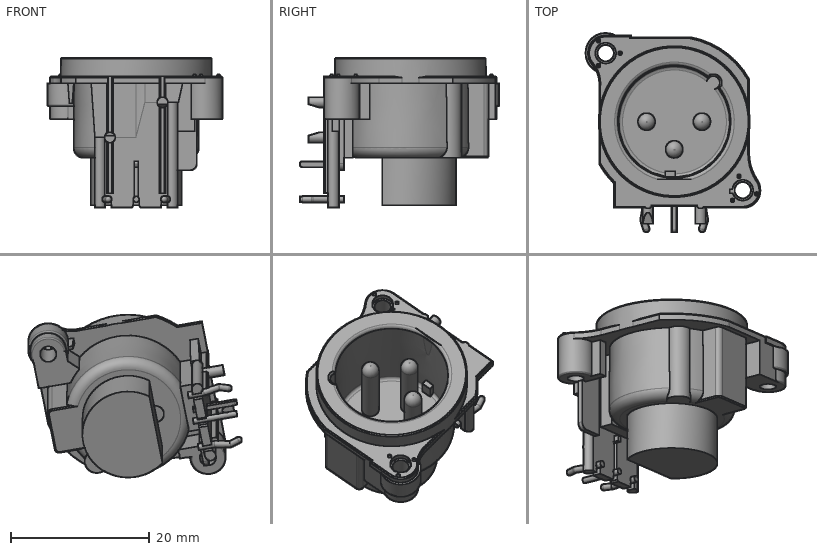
import cadquery as cq
import math


OVERALL_HEIGHT = 21.7

FLANGE_THICKNESS = 1.05
FLANGE_CHAMFER = 0.2
FLANGE_HALF_WIDTH = 10.85
FLANGE_ARC_RADIUS = 12.45
FLANGE_REAR_Y = 12.22
FLANGE_FRONT_Y = -12.47
FLANGE_NOTCH_X = -8.75
FLANGE_RECESS_DEPTH = 0.23

LUG_OFFSET = 9.9
LUG_RADIUS = -FLANGE_FRONT_Y - LUG_OFFSET
LUG_COLLAR_RADIUS = 2.92
LUG_COLLAR_BOTTOM = -4.35
LUG_BOTTOM = -6.25
LUG_HOLE_RADIUS = 1.17
LUG_COUNTERBORE_RADIUS = 1.5
LUG_COUNTERBORE_DEPTH = 0.8
LUG_EDGE_FILLET = 0.2
LUG_NOTCH_X = (8.0, LUG_OFFSET)
LUG_NOTCH_Y = (-10.35, -9.8)
BUMP_CIRCLE_RADIUS = 2.08
BUMP_COUNT = 3
BUMP_FRONT_ANGLE = 105
BUMP_RADIUS = 0.28
BUMP_TIP_RADIUS = 0.1
BUMP_HEIGHT = 0.3

RING_RADIUS = 10.92
RING_TOP = 2.7
RING_CHAMFER = 0.2

CUP_TOP_RADIUS = 8.97
CUP_BOTTOM_RADIUS = 9.07
CUP_BOTTOM = -11.8
CUP_FILLET = 1.5
CUP_FLOOR = -10.3
CAVITY_TOP_RADIUS = 8.15
CAVITY_FLOOR_RADIUS = 8.0
CAVITY_FLOOR_FILLET = 0.5
CAVITY_FLAT_Y = -8.1
LIP_FLAT_Y = -8.32
CAVITY_LIP = 0.5
KEYWAY_RADIUS = 0.95
KEYWAY_REACH = 7.97
KEYWAY_X = KEYWAY_REACH * math.sqrt(0.5)
KEYWAY_WALL = 0.8
KEYWAY_LIP = 0.3
LATCH_HALF_WIDTH = 3.4
LATCH_REAR_Y = 11.3
LATCH_CORNER_RADIUS = 0.7
LATCH_EDGE_CHAMFER = 0.2
CONTACT_X = (-1.26, 0.18)
CONTACT_Y = (-8.2, -7.18)
CONTACT_HEIGHT = 2.0

PIN_RADIUS = 1.25
PIN_TIP_FILLET = 1.2
PIN_OFFSET = 4.0
PIN_TOP = 0.9
PLUG_RADIUS = 6.6
PLUG_FLAT_Y = -4.08
PLUG_BOTTOM = -18.65

WALL_FRONT_Y = -11.6
WALL_BACK_Y = -10.3
WALL_BOTTOM = RING_TOP - OVERALL_HEIGHT
WALL_HALF_WIDTH = 5.97
WALL_TOP_LEFT_X = -6.5
WALL_TOP_RIGHT_X = 6.7
WALL_SHOULDER_RIGHT_X = 6.1
WALL_DRAFT = 0.1
SHOULDER_RAMP_X = (-0.1, 1.2)
BRIDGE_BACK_Y = -8.3
BRIDGE_HALF_WIDTH = 3.5
WALL_SHOULDER_LEFT = -8.85
WALL_SHOULDER_RIGHT = -3.78
POST_RADIUS = 0.78
POST_OFFSET = 5.2
POST_Y = -11.14

RIB_OFFSET = 3.8
RIB_BASE_WIDTH = 0.92
RIB_TIP_WIDTH = 0.55
RIB_TIP_Y = -12.49
RIB_CHAMFER = (RIB_BASE_WIDTH - RIB_TIP_WIDTH) / 2
RIB_BOTTOM = -16.9

SNAP_RADIUS = 0.77
SNAP_TIP_Y = -14.75
SNAP_TAPER_Y = -13.13
SNAP_TAPER = 0.5

TAIL_Z = -17.78
TAIL_START_Y = -9.57
TAIL_TIP_Y = -15.98
TAIL_OFFSET = 4.03
TAIL_RADIUS = 0.475
TAIL_BOW = 0.42
TAIL_BOW_START_Y = -11.9
TAIL_BOW_Y = -14.2
CENTER_TAIL_RADIUS = 0.43
BLADE_WIDTH = 0.63
BLADE_TOP = -12.29
BLADE_HEIGHT = 0.87
BLADE_TIP_FILLET = 0.35

PLATE_BACK_Y = -9.57
PLATE_INNER_X = 4.8
PLATE_OUTER_X = 8.78
PLATE_BOTTOM = -13.6
PLATE_CORNER_RADIUS = 1.0
PAD_OUTER_X = 8.48
PAD_FRONT_Y = -11.33
PAD_BOTTOM = -7.96


def block(x, y, z):
    """Box given by its (low, high) limits along each axis."""
    return cq.Workplane("XY").box(
        x[1] - x[0], y[1] - y[0], z[1] - z[0], centered=False
    ).translate((x[0], y[0], z[0]))


def cylinder(x, y, radius, bottom, top):
    """Upright cylinder between two heights."""
    return cq.Workplane("XY", origin=(x, y, bottom)).circle(radius).extrude(top - bottom)


def rod(x, z, radius, start_y, tip_y):
    """Horizontal cylinder that runs toward -Y."""
    return cq.Workplane("XZ", origin=(x, start_y, z)).circle(radius).extrude(start_y - tip_y)


def make_flange():
    """Flange plate with a lug at the rear left and at the front right."""

    def on_arc(x, side):
        return (x, side * math.sqrt(FLANGE_ARC_RADIUS**2 - x**2))

    def on_lug(side, degrees):
        angle = math.radians(degrees)
        return (
            side * (LUG_OFFSET + LUG_RADIUS * math.cos(angle)),
            side * (-LUG_OFFSET + LUG_RADIUS * math.sin(angle)),
        )

    step_x = -6.24
    arc_start_x = math.sqrt(FLANGE_ARC_RADIUS**2 - FLANGE_REAR_Y**2)
    arc_middle_angle = math.radians(35)
    arc_middle_x = FLANGE_ARC_RADIUS * math.sin(arc_middle_angle)
    right_flank_end = (FLANGE_HALF_WIDTH, -4.6)
    right_flank_middle = (11.28, -7.0)
    left_flank_end = (-FLANGE_HALF_WIDTH, 5.2)
    left_flank_middle = (-11.15, 7.1)
    flank_angle = 32
    round_angle = -30
    front_arc_middle_x = -9.93
    rear_left_y = LUG_OFFSET + LUG_RADIUS
    return (
        cq.Workplane("XY", origin=(0, 0, -FLANGE_THICKNESS))
        .moveTo(FLANGE_NOTCH_X, FLANGE_FRONT_Y)
        .lineTo(LUG_OFFSET, FLANGE_FRONT_Y)
        .threePointArc(on_lug(1, round_angle), on_lug(1, flank_angle))
        .threePointArc(right_flank_middle, right_flank_end)
        .lineTo(*on_arc(FLANGE_HALF_WIDTH, 1))
        .threePointArc(on_arc(arc_middle_x, 1), on_arc(arc_start_x, 1))
        .lineTo(step_x, FLANGE_REAR_Y)
        .lineTo(step_x, rear_left_y)
        .lineTo(-LUG_OFFSET, rear_left_y)
        .threePointArc(on_lug(-1, round_angle), on_lug(-1, flank_angle))
        .threePointArc(left_flank_middle, left_flank_end)
        .lineTo(*on_arc(-FLANGE_HALF_WIDTH, -1))
        .threePointArc(on_arc(front_arc_middle_x, -1), on_arc(FLANGE_NOTCH_X, -1))
        .close()
        .extrude(FLANGE_THICKNESS)
    )


def make_rear_lug():
    """Stepped boss under the rear left lug, with its web to the cup."""
    collar = cylinder(-LUG_OFFSET, LUG_OFFSET, LUG_COLLAR_RADIUS, LUG_COLLAR_BOTTOM, -FLANGE_THICKNESS)
    boss = cylinder(-LUG_OFFSET, LUG_OFFSET, LUG_RADIUS, LUG_BOTTOM, -FLANGE_THICKNESS)
    web_x = -8.35
    web_y = LUG_OFFSET - LUG_RADIUS
    slope = 1.45
    inside_cup_x = -5.0
    web = (
        cq.Workplane("XY", origin=(0, 0, LUG_BOTTOM))
        .polyline([
            (-LUG_OFFSET, web_y),
            (web_x, web_y),
            (web_x + slope, web_y - slope),
            (inside_cup_x, web_y - slope),
            (inside_cup_x, FLANGE_REAR_Y),
            (-LUG_OFFSET, FLANGE_REAR_Y),
        ])
        .close()
        .extrude(-FLANGE_THICKNESS - LUG_BOTTOM)
    )
    gusset_center = (-9.45, 6.75)
    gusset_top = (0.84, 1.1)
    gusset_bottom = (0.42, 0.7)
    gusset_height = 2.85
    gusset = (
        cq.Workplane("XY", origin=(*gusset_center, -FLANGE_THICKNESS))
        .rect(*gusset_top)
        .workplane(offset=-gusset_height)
        .rect(*gusset_bottom)
        .loft()
    )
    return (
        boss.faces("<Z").edges().fillet(LUG_EDGE_FILLET)
        .union(collar.faces("<Z").edges().fillet(LUG_EDGE_FILLET))
        .union(web)
        .union(gusset)
    )


def make_front_lug():
    """Boss under the front right lug, flat on the side that faces the wall."""
    flat_x = 7.92
    web_end = (9.3, -5.9)
    heights = (LUG_BOTTOM, -FLANGE_THICKNESS)
    keep = block((flat_x, flat_x + 2 * LUG_RADIUS), (-2 * LUG_OFFSET, 0), heights)
    boss = cylinder(LUG_OFFSET, -LUG_OFFSET, LUG_RADIUS, *heights).intersect(keep)
    web = block((flat_x, web_end[0]), (-LUG_OFFSET, web_end[1]), heights)
    return boss.faces("<Z").edges().fillet(LUG_EDGE_FILLET).union(web)


def make_cup():
    """Ring and slightly tapered cup, still solid inside."""
    ring = (
        cylinder(0, 0, RING_RADIUS, -FLANGE_THICKNESS, RING_TOP)
        .faces(">Z").edges().chamfer(RING_CHAMFER)
    )
    cup = (
        cq.Workplane("XY", origin=(0, 0, CUP_BOTTOM))
        .circle(CUP_BOTTOM_RADIUS)
        .workplane(offset=-CUP_BOTTOM)
        .circle(CUP_TOP_RADIUS)
        .loft()
        .faces("<Z").edges().fillet(CUP_FILLET)
    )
    return ring.union(cup)


def make_latch_housing():
    """Round-cornered block behind the cup and the wall around the keyway."""
    rear_block = (
        block((-LATCH_HALF_WIDTH, LATCH_HALF_WIDTH), (0, LATCH_REAR_Y), (CUP_BOTTOM, 0))
        .edges("|Z and >Y").fillet(LATCH_CORNER_RADIUS)
        .faces("<Z").edges(">Y").chamfer(LATCH_EDGE_CHAMFER)
    )
    keyway_wall = cylinder(KEYWAY_X, KEYWAY_X, KEYWAY_RADIUS + KEYWAY_WALL, CUP_BOTTOM, 0)
    return rear_block.union(keyway_wall)


def make_cavity():
    """Tapered round bore with a flat front side, a rounded lip and a keyway."""
    depth = RING_TOP - CUP_FLOOR
    bore = (
        cq.Workplane("XY", origin=(0, 0, CUP_FLOOR))
        .circle(CAVITY_FLOOR_RADIUS)
        .workplane(offset=depth)
        .circle(CAVITY_TOP_RADIUS)
        .loft()
    )
    size = 2 * CAVITY_TOP_RADIUS
    keep = block((-size, size), (CAVITY_FLAT_Y, size), (CUP_FLOOR, RING_TOP))
    lip = (
        cq.Workplane("XZ")
        .moveTo(0, RING_TOP)
        .lineTo(CAVITY_TOP_RADIUS + CAVITY_LIP, RING_TOP)
        .radiusArc((CAVITY_TOP_RADIUS, RING_TOP - CAVITY_LIP), -CAVITY_LIP)
        .lineTo(0, RING_TOP - CAVITY_LIP)
        .close()
        .revolve(360, (0, 0), (0, 1))
    )
    lip_keep = block((-size, size), (LIP_FLAT_Y, size), (CUP_FLOOR, RING_TOP))
    keyway = cylinder(KEYWAY_X, KEYWAY_X, KEYWAY_RADIUS, CUP_FLOOR, RING_TOP)
    keyway_lip = (
        cq.Workplane("XY", origin=(KEYWAY_X, KEYWAY_X, RING_TOP))
        .circle(KEYWAY_RADIUS + KEYWAY_LIP)
        .workplane(offset=-KEYWAY_LIP)
        .circle(KEYWAY_RADIUS)
        .loft()
    )
    bore = bore.intersect(keep).faces("<Z").edges().fillet(CAVITY_FLOOR_FILLET)
    return bore.union(lip.intersect(lip_keep)).union(keyway).union(keyway_lip)


def make_wall():
    """Front wall with its side posts and the bridge that ties it to the cup."""
    wall = (
        cq.Workplane("XZ", origin=(0, WALL_BACK_Y, 0))
        .polyline([
            (WALL_TOP_LEFT_X, -FLANGE_THICKNESS),
            (-WALL_HALF_WIDTH, WALL_SHOULDER_LEFT),
            (-POST_OFFSET, WALL_SHOULDER_LEFT),
            (-POST_OFFSET, WALL_BOTTOM),
            (POST_OFFSET, WALL_BOTTOM),
            (POST_OFFSET, WALL_SHOULDER_RIGHT),
            (WALL_SHOULDER_RIGHT_X, WALL_SHOULDER_RIGHT),
            (WALL_TOP_RIGHT_X, -FLANGE_THICKNESS),
        ])
        .close()
        .extrude(WALL_BACK_Y - WALL_FRONT_Y)
    )
    bridge = block((-BRIDGE_HALF_WIDTH, BRIDGE_HALF_WIDTH), (WALL_BACK_Y, BRIDGE_BACK_Y), (CUP_BOTTOM, 0))
    plate = (
        block((PLATE_INNER_X, PLATE_OUTER_X), (WALL_BACK_Y, PLATE_BACK_Y), (PLATE_BOTTOM, -FLANGE_THICKNESS))
        .edges("|Y and >X and <Z").fillet(PLATE_CORNER_RADIUS)
    )
    pad = block((WALL_HALF_WIDTH, PAD_OUTER_X), (PAD_FRONT_Y, WALL_BACK_Y), (PAD_BOTTOM, -FLANGE_THICKNESS))
    left_post = cylinder(-POST_OFFSET, POST_Y, POST_RADIUS, WALL_BOTTOM, WALL_SHOULDER_LEFT)
    right_post = cylinder(POST_OFFSET, POST_Y, POST_RADIUS, WALL_BOTTOM, WALL_SHOULDER_RIGHT)
    return wall.union(bridge).union(plate).union(pad).union(left_post).union(right_post)


def make_draft():
    """Thin wedges that lean the wall front back above a shoulder line that climbs to the right."""
    sections = (
        (WALL_TOP_LEFT_X, WALL_SHOULDER_LEFT),
        (SHOULDER_RAMP_X[0], WALL_SHOULDER_LEFT),
        (SHOULDER_RAMP_X[1], WALL_SHOULDER_RIGHT),
        (WALL_TOP_RIGHT_X, WALL_SHOULDER_RIGHT),
    )
    triangles = [
        cq.Wire.makePolygon(
            [
                cq.Vector(x, WALL_FRONT_Y, shoulder),
                cq.Vector(x, WALL_FRONT_Y + WALL_DRAFT, -FLANGE_THICKNESS),
                cq.Vector(x, WALL_FRONT_Y, -FLANGE_THICKNESS),
            ],
            close=True,
        )
        for x, shoulder in sections
    ]
    return [cq.Solid.makeLoft([left, right], True) for left, right in zip(triangles, triangles[1:])]


def make_slots():
    """Slots in the wall, open at the bottom, that the solder tails sit in."""
    y = (WALL_FRONT_Y, WALL_BACK_Y)
    slots = block((-BLADE_WIDTH / 2, BLADE_WIDTH / 2), y, (WALL_BOTTOM, BLADE_TOP))
    for x in (-TAIL_OFFSET, 0, TAIL_OFFSET):
        half = CENTER_TAIL_RADIUS
        slots = slots.union(block((x - half, x + half), y, (WALL_BOTTOM, TAIL_Z)))
    mouth = 0.68
    lead_in = (
        cq.Workplane("XZ", origin=(0, WALL_BACK_Y, 0))
        .polyline([(-mouth, WALL_BOTTOM), (mouth, WALL_BOTTOM), (0, WALL_BOTTOM + mouth)])
        .close()
        .extrude(WALL_BACK_Y - WALL_FRONT_Y)
    )
    return slots.union(lead_in)


def make_rib(x):
    """Vertical rib with chamfered front edges on the wall front."""
    return (
        cq.Workplane("XY", origin=(x, 0, RIB_BOTTOM))
        .polyline([
            (-RIB_BASE_WIDTH / 2, WALL_FRONT_Y + WALL_DRAFT),
            (-RIB_BASE_WIDTH / 2, RIB_TIP_Y + RIB_CHAMFER),
            (-RIB_TIP_WIDTH / 2, RIB_TIP_Y),
            (RIB_TIP_WIDTH / 2, RIB_TIP_Y),
            (RIB_BASE_WIDTH / 2, RIB_TIP_Y + RIB_CHAMFER),
            (RIB_BASE_WIDTH / 2, WALL_FRONT_Y + WALL_DRAFT),
        ])
        .close()
        .extrude(-RIB_BOTTOM)
    )


def make_snap_peg(x, z, taper_side):
    """Round locating peg, cut to a slope at its tip on the upper (+1) or lower (-1) side."""
    edge = z + taper_side * SNAP_RADIUS
    slope = (
        cq.Workplane("YZ", origin=(x - SNAP_RADIUS, 0, 0))
        .polyline([
            (SNAP_TAPER_Y, edge),
            (SNAP_TIP_Y, edge - taper_side * SNAP_TAPER),
            (SNAP_TIP_Y, edge),
        ])
        .close()
        .extrude(2 * SNAP_RADIUS)
    )
    return rod(x, z, SNAP_RADIUS, WALL_BACK_Y, SNAP_TIP_Y).cut(slope)


def make_bowed_tail(side):
    """Round solder tail that bows outward and returns to a ball tip."""
    x = side * TAIL_OFFSET
    points = [
        (x, TAIL_START_Y),
        (x, TAIL_BOW_START_Y),
        (x + side * TAIL_BOW, TAIL_BOW_Y),
        (x, TAIL_TIP_Y + TAIL_RADIUS),
    ]
    tail = None
    for start, end in zip(points, points[1:]):
        origin = cq.Vector(start[0], start[1], TAIL_Z)
        run = cq.Vector(end[0], end[1], TAIL_Z) - origin
        piece = cq.Workplane(cq.Solid.makeCylinder(TAIL_RADIUS, run.Length, origin, run))
        joint = cq.Workplane("XY", origin=(end[0], end[1], TAIL_Z)).sphere(TAIL_RADIUS)
        tail = piece.union(joint) if tail is None else tail.union(piece).union(joint)
    return tail


def make_blade():
    """Flat ground tail with a rounded tip."""
    return (
        block(
            (-BLADE_WIDTH / 2, BLADE_WIDTH / 2),
            (TAIL_TIP_Y, TAIL_START_Y),
            (BLADE_TOP - BLADE_HEIGHT, BLADE_TOP),
        )
        .edges("|X and <Y").fillet(BLADE_TIP_FILLET)
    )


def make_bumps():
    """Three small cones on the flange around each lug hole."""
    bumps = []
    for x, y, first_angle in ((-LUG_OFFSET, LUG_OFFSET, 0), (LUG_OFFSET, -LUG_OFFSET, BUMP_FRONT_ANGLE)):
        for index in range(BUMP_COUNT):
            angle = math.radians(first_angle + 360 * index / BUMP_COUNT)
            center = cq.Vector(
                x + BUMP_CIRCLE_RADIUS * math.cos(angle), y + BUMP_CIRCLE_RADIUS * math.sin(angle), 0
            )
            bumps.append(cq.Solid.makeCone(BUMP_RADIUS, BUMP_TIP_RADIUS, BUMP_HEIGHT, center))
    return bumps


def make_plug():
    """Flat-sided rear plug."""
    size = 2 * PLUG_RADIUS
    keep = block((-size, size), (PLUG_FLAT_Y, size), (PLUG_BOTTOM, CUP_BOTTOM))
    return cylinder(0, 0, PLUG_RADIUS, PLUG_BOTTOM, CUP_BOTTOM).intersect(keep)


flange_recess = block(
    (-RIB_OFFSET, RIB_OFFSET),
    (FLANGE_FRONT_Y, FLANGE_FRONT_Y + FLANGE_RECESS_DEPTH),
    (-FLANGE_THICKNESS, 0),
)
flange = make_flange().cut(flange_recess).faces(">Z").edges().chamfer(FLANGE_CHAMFER)
housing = (
    flange
    .union(make_cup())
    .union(make_latch_housing())
    .union(make_rear_lug())
    .union(make_front_lug())
    .union(make_wall())
)
for wedge in make_draft():
    housing = housing.cut(cq.Workplane(wedge))
housing = housing.cut(make_slots()).cut(make_cavity())
for lug_x in (-LUG_OFFSET, LUG_OFFSET):
    housing = housing.cut(cylinder(lug_x, -lug_x, LUG_HOLE_RADIUS, LUG_BOTTOM, 0))
    housing = housing.cut(cylinder(lug_x, -lug_x, LUG_COUNTERBORE_RADIUS, -LUG_COUNTERBORE_DEPTH, 0))
housing = housing.cut(block(LUG_NOTCH_X, LUG_NOTCH_Y, (-LUG_COUNTERBORE_DEPTH, 0)))
for side, shoulder in ((-1, WALL_SHOULDER_LEFT), (1, WALL_SHOULDER_RIGHT)):
    housing = housing.union(make_rib(side * RIB_OFFSET))
    housing = housing.union(make_snap_peg(side * RIB_OFFSET, shoulder, -side))
    housing = housing.union(make_bowed_tail(side))
housing = housing.union(rod(0, TAIL_Z, CENTER_TAIL_RADIUS, TAIL_START_Y, TAIL_TIP_Y))
housing = housing.union(make_blade())
housing = housing.union(block(CONTACT_X, CONTACT_Y, (CUP_FLOOR, CUP_FLOOR + CONTACT_HEIGHT)))
for bump in make_bumps():
    housing = housing.union(cq.Workplane(bump))

insert = make_plug()
for pin_x, pin_y in ((-PIN_OFFSET, 0), (PIN_OFFSET, 0), (0, -PIN_OFFSET)):
    housing = housing.cut(cylinder(pin_x, pin_y, PIN_RADIUS, CUP_BOTTOM, CUP_FLOOR))
    pin = cylinder(pin_x, pin_y, PIN_RADIUS, CUP_BOTTOM, PIN_TOP)
    insert = insert.union(pin.faces(">Z").edges().fillet(PIN_TIP_FILLET))

result = cq.Compound.makeCompound([*housing.vals(), *insert.vals()])